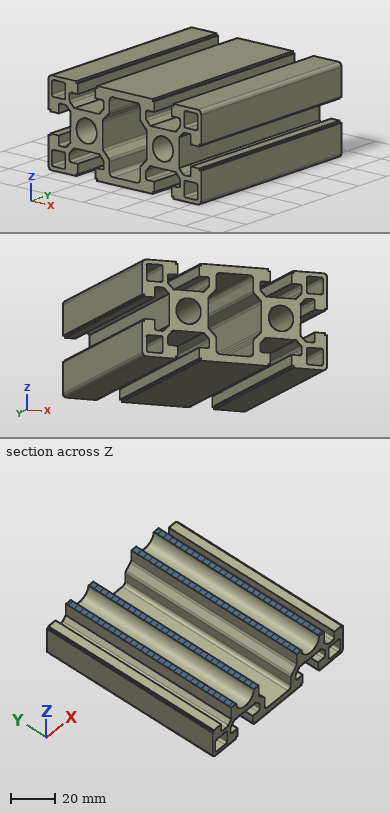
import cadquery as cq

cell = 45.0
width = 2 * cell
height = cell
length = 100.0
outer_radius = 2.0

slot_opening = 10.4
recess_width = 12.2
recess_depth = 1.0
lip_depth = 6.0
cavity_width = 20.2
slot_depth = 13.0
cavity_chamfer = 2.8
shoulder_radius = 2.0
lip_radius = 1.2

bore_diameter = 12.0

hollow_size = 8.0
hollow_wall = 2.0
hollow_radius = 1.2

chamber_wall = 3.6
chamber_narrow_half = 9.0
chamber_waist_half = 13.0
chamber_waist_height = 14.0
chamber_radius = 2.0


def prism(points):
    """Extrude a closed XZ outline along the whole length, centred on Y."""
    return cq.Workplane("XZ").polyline(points).close().extrude(length / 2, both=True)


def mirrored(right_side):
    """Close an outline that is symmetric about the Z axis from its right half."""
    return right_side + [(-x, z) for x, z in reversed(right_side)]


def t_slot(cell_x, angle):
    """Cutter for one T-slot: drawn in the top face of a cell, then turned about the cell axis."""
    face = cell / 2
    floor = face - slot_depth
    lip = face - lip_depth
    step = face - recess_depth
    half_cavity = cavity_width / 2
    cavity = prism(mirrored([
        (half_cavity - cavity_chamfer, floor),
        (half_cavity, floor + cavity_chamfer),
        (half_cavity, lip),
    ]))
    cavity = cavity.edges("|Y and (not >Z) and (not <Z)").fillet(shoulder_radius)
    cavity = cavity.edges("|Y and >Z").fillet(lip_radius)
    opening = prism(mirrored([
        (slot_opening / 2, floor + cavity_chamfer),
        (slot_opening / 2, step),
        (recess_width / 2, step),
        (recess_width / 2, face),
    ]))
    return cavity.union(opening).rotate((0, 0, 0), (0, 1, 0), angle).translate((cell_x, 0, 0))


def central_chamber():
    """Cutter for the central chamber, with 45 degree flanks leading to its waist."""
    half_height = height / 2 - chamber_wall
    waist = chamber_waist_height / 2
    shoulder = waist + chamber_waist_half - chamber_narrow_half
    upper = mirrored([
        (chamber_waist_half, waist),
        (chamber_narrow_half, shoulder),
        (chamber_narrow_half, half_height),
    ])
    lower = [(-x, -z) for x, z in upper]
    return prism(upper + lower).edges("|Y").fillet(chamber_radius)


def corner_hollows():
    """Cutter for the four square corner hollows."""
    offset = hollow_wall + hollow_size / 2
    x = width / 2 - offset
    z = height / 2 - offset
    return (
        cq.Workplane("XZ")
        .pushPoints([(-x, -z), (-x, z), (x, -z), (x, z)])
        .rect(hollow_size, hollow_size)
        .extrude(length / 2, both=True)
        .edges("|Y")
        .fillet(hollow_radius)
    )


def core_bores():
    """Cutter for the round bores on the two cell axes."""
    return (
        cq.Workplane("XZ")
        .pushPoints([(-cell / 2, 0), (cell / 2, 0)])
        .circle(bore_diameter / 2)
        .extrude(length / 2, both=True)
    )


result = cq.Workplane("XY").box(width, length, height).edges("|Y").fillet(outer_radius)

for side, outward_angle in ((-1, -90), (1, 90)):
    for angle in (0, 180, outward_angle):
        result = result.cut(t_slot(side * cell / 2, angle))

result = result.cut(central_chamber()).cut(corner_hollows()).cut(core_bores())